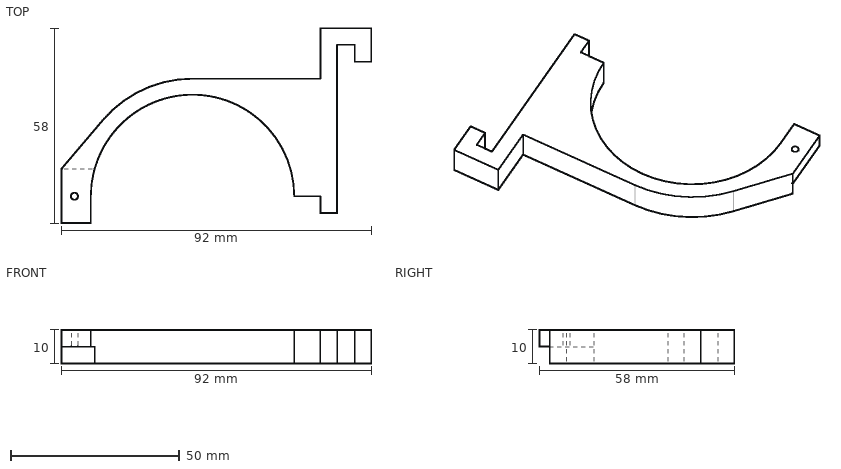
import cadquery as cq
import math

thickness = 10.0
wall = 5.0
opening_radius = 30.2
outer_radius = 35.0
left_x = -38.9
right_x = left_x + 92.0
top_y = 50.0
tab_end_y = top_y - 58.0
tab_shoulder_y = 8.2
tab_thickness = thickness / 2
plate_end_y = -wall
hook_width = 15.1
lip_length = 10.0
hole_diameter = 2.0
hole_x = -35.05

plate_left_x = right_x - hook_width
plate_right_x = plate_left_x + wall
lip_left_x = right_x - wall


def on_circle(radius, angle):
    return (radius * math.cos(angle), radius * math.sin(angle))


shoulder_distance = math.hypot(left_x, tab_shoulder_y)
shoulder_angle = math.atan2(tab_shoulder_y, left_x)
tangent_angle = shoulder_angle - math.acos(outer_radius / shoulder_distance)
tangent_point = on_circle(outer_radius, tangent_angle)
outer_mid_point = on_circle(outer_radius, (tangent_angle + math.pi / 2) / 2)


def make_bracket():
    return (
        cq.Workplane("XY")
        .moveTo(left_x, tab_end_y)
        .lineTo(left_x, tab_shoulder_y)
        .lineTo(*tangent_point)
        .threePointArc(outer_mid_point, (0, outer_radius))
        .lineTo(plate_left_x, outer_radius)
        .lineTo(plate_left_x, top_y)
        .lineTo(right_x, top_y)
        .lineTo(right_x, top_y - lip_length)
        .lineTo(lip_left_x, top_y - lip_length)
        .lineTo(lip_left_x, top_y - wall)
        .lineTo(plate_right_x, top_y - wall)
        .lineTo(plate_right_x, plate_end_y)
        .lineTo(plate_left_x, plate_end_y)
        .lineTo(plate_left_x, 0)
        .lineTo(opening_radius, 0)
        .threePointArc((0, opening_radius), (-opening_radius, 0))
        .lineTo(-opening_radius, tab_end_y)
        .close()
        .extrude(thickness)
    )


def make_tab_relief():
    """Space under the tab, leaving only its upper half."""
    return cq.Workplane("XY").box(
        -left_x, tab_shoulder_y - tab_end_y, thickness - tab_thickness, centered=False
    ).translate((left_x, tab_end_y, 0))


def make_tab_hole():
    return cq.Workplane("XY").center(hole_x, 0).circle(hole_diameter / 2).extrude(thickness)


result = make_bracket().cut(make_tab_relief()).cut(make_tab_hole())